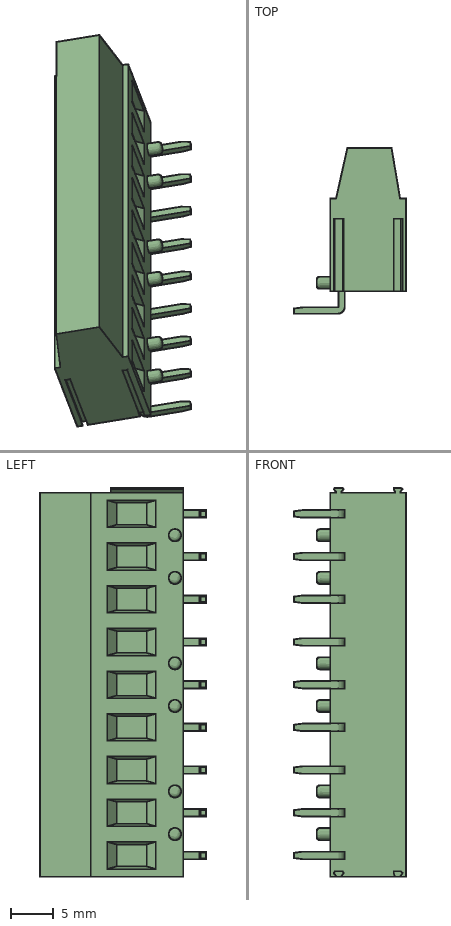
import cadquery as cq


total_height = 45.55
rail_height = 0.55
body_height = total_height - rail_height
body_width = 8.9
body_depth = 16.8
shoulder_y = 10.9
shoulder_step = 0.7
crown_left_x = 2.0
crown_right_x = 7.2

pole_count = 9
pitch = body_height / pole_count

window_front_y = 3.25
window_back_y = 8.95
window_height = 3.2
window_depth = 0.9
window_wall_y_run = 1.1
window_wall_z_run = 0.3

pin_height = 0.9
pin_thickness = 0.77
pin_overhang = 4.25
pin_reach = 2.65
pin_outer_x = 1.75
bend_radius = 0.85
tip_length = 1.0
tip_inset = 0.15

peg_radius = 0.75
peg_length = 1.6
peg_rounding = 0.4
peg_y = 1.0
poles_per_module = 3

rail_length = 8.5
rail_widest = 0.4
groove_depth = 0.65
groove_widest = 0.45
left_rail = {"neck": (0.75, 1.28), "wide": (0.4, 1.6), "flat": (0.55, 1.45)}
right_rail = {"neck": (7.6, 8.2), "wide": (7.43, 8.47), "flat": (7.43, 8.3)}


def pole_z(index):
    return (index + 0.5) * pitch


def make_housing():
    outline = [
        (0, 0),
        (body_width, 0),
        (body_width, shoulder_y),
        (body_width - shoulder_step, shoulder_y),
        (crown_right_x, body_depth),
        (crown_left_x, body_depth),
        (shoulder_step, shoulder_y),
        (0, shoulder_y),
    ]
    return cq.Workplane("XY").polyline(outline).close().extrude(body_height)


def make_rail(section, base_z, widest, height):
    outline = [
        (section["neck"][0], base_z),
        (section["wide"][0], base_z + widest),
        (section["flat"][0], base_z + height),
        (section["flat"][1], base_z + height),
        (section["wide"][1], base_z + widest),
        (section["neck"][1], base_z),
    ]
    return cq.Workplane("XZ").polyline(outline).close().extrude(-rail_length)


def make_window(z):
    mouth_y = (window_front_y + window_back_y) / 2
    window_width = window_back_y - window_front_y
    return (
        cq.Workplane("YZ")
        .center(mouth_y, z)
        .rect(window_width, window_height)
        .workplane(offset=window_depth)
        .rect(window_width - 2 * window_wall_y_run, window_height - 2 * window_wall_z_run)
        .loft(ruled=True)
    )


def make_pin(z):
    tip_start_x = tip_length - pin_overhang
    outline = [
        (tip_start_x, -pin_reach),
        (pin_outer_x, -pin_reach),
        (pin_outer_x, 0),
        (pin_outer_x - pin_thickness, 0),
        (pin_outer_x - pin_thickness, pin_thickness - pin_reach),
        (tip_start_x, pin_thickness - pin_reach),
    ]
    bar = (
        cq.Workplane("XY", origin=(0, 0, z - pin_height / 2))
        .polyline(outline)
        .close()
        .extrude(pin_height)
        .edges("|Z and >X and <Y")
        .fillet(bend_radius)
    )
    tip = (
        cq.Workplane("YZ", origin=(tip_start_x, pin_thickness / 2 - pin_reach, z))
        .rect(pin_thickness, pin_height)
        .workplane(offset=-tip_length)
        .center(-tip_inset / 2, 0)
        .rect(pin_thickness - tip_inset, pin_height - 2 * tip_inset)
        .loft(ruled=True)
    )
    return bar.union(tip)


def make_peg(z):
    return (
        cq.Workplane("YZ", origin=(0, peg_y, z))
        .circle(peg_radius)
        .extrude(-peg_length)
        .faces("<X")
        .edges()
        .fillet(peg_rounding)
    )


result = make_housing()

for rail in (left_rail, right_rail):
    result = result.union(make_rail(rail, body_height, rail_widest, rail_height))
    result = result.cut(make_rail(rail, 0, groove_widest, groove_depth))

for pole in range(pole_count):
    result = result.cut(make_window(pole_z(pole)))
    result = result.union(make_pin(pole_z(pole)))

for boundary in range(1, pole_count):
    if boundary % poles_per_module != 0:
        result = result.union(make_peg(boundary * pitch))